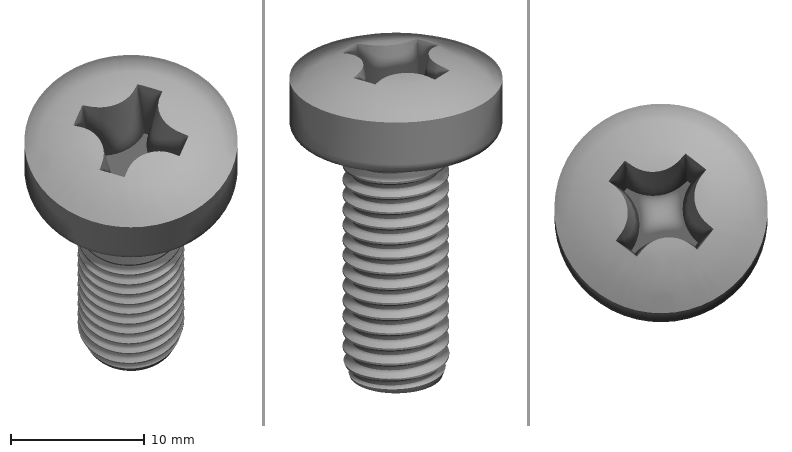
import math

import cadquery as cq


thread_diameter = 8.0
shank_length = 20.0
tip_radius = 3.5
tip_cone_angle = 20.0

pitch = 1.25
thread_turns = 15.7
flank_angle = 30.0
crest_flat = pitch / 8
root_flat = pitch / 4

head_diameter = 16.0
head_height = 6.0
head_underside_round = 0.95
dome_height = 1.55
dome_flat_radius = 2.0

recess_opening_z = 25.8
recess_depth = 4.8
recess_taper = 10.0
arm_length = 4.23
arm_half_width = 1.0
corner_round = 2.63
arm_straight = 1.2

overlap = 0.5
groove_overlap = 0.125

thread_radius = thread_diameter / 2
head_radius = head_diameter / 2
head_top_z = shank_length + head_height


def make_shank():
    """Plain cylinder with a conical tip, reaching slightly into the head."""
    tip_height = (thread_radius - tip_radius) / math.tan(math.radians(tip_cone_angle))
    shank_top_z = shank_length + overlap
    return (
        cq.Workplane("XZ")
        .moveTo(0, 0)
        .lineTo(tip_radius, 0)
        .lineTo(thread_radius, tip_height)
        .lineTo(thread_radius, shank_top_z)
        .lineTo(0, shank_top_z)
        .close()
        .revolve(360, (0, 0), (0, 1))
    )


def make_thread_groove():
    """Helical groove starting at z = 0 on the +X side, with a flat end under the head."""
    flank_slope = math.tan(math.radians(flank_angle))
    groove_opening = pitch - crest_flat
    groove_depth = (groove_opening - root_flat) / 2 / flank_slope
    root_radius = thread_radius - groove_depth
    outer_radius = thread_radius + groove_overlap
    outer_half_width = root_flat / 2 + (outer_radius - root_radius) * flank_slope

    helix = cq.Wire.makeHelix(pitch, thread_turns * pitch, root_radius)
    return (
        cq.Workplane("XZ")
        .moveTo(root_radius, -root_flat / 2)
        .lineTo(outer_radius, -outer_half_width)
        .lineTo(outer_radius, outer_half_width)
        .lineTo(root_radius, root_flat / 2)
        .close()
        .sweep(cq.Workplane(obj=helix), isFrenet=True)
    )


def make_head():
    """Cylindrical head with a rounded underside edge and a domed top, flat at the middle."""
    dome_run = head_radius - dome_flat_radius
    dome_arc_radius = (dome_run**2 + dome_height**2) / (2 * dome_height)
    return (
        cq.Workplane("XZ")
        .moveTo(0, shank_length)
        .lineTo(head_radius - head_underside_round, shank_length)
        .radiusArc((head_radius, shank_length + head_underside_round), -head_underside_round)
        .lineTo(head_radius, head_top_z - dome_height)
        .radiusArc((dome_flat_radius, head_top_z), -dome_arc_radius)
        .lineTo(0, head_top_z)
        .close()
        .revolve(360, (0, 0), (0, 1))
    )


def make_recess():
    """Tapered square pocket with a rounded post left standing in each corner."""
    floor_inset = recess_depth * math.tan(math.radians(recess_taper))
    floor_z = recess_opening_z - recess_depth
    height = recess_depth + overlap
    floor_plane = cq.Workplane("XY", origin=(0, 0, floor_z))

    floor_side = 2 * (arm_length - floor_inset)
    pocket = floor_plane.rect(floor_side, floor_side).extrude(height, taper=-recess_taper)

    post_round = corner_round + floor_inset
    post_side = 2 * post_round + arm_straight
    post_offset = arm_half_width - floor_inset + post_side / 2
    post_outline = cq.Sketch().rect(post_side, post_side).vertices().fillet(post_round)
    for x_side in (-1, 1):
        for y_side in (-1, 1):
            post = (
                floor_plane.center(x_side * post_offset, y_side * post_offset)
                .placeSketch(post_outline)
                .extrude(height, taper=recess_taper)
            )
            pocket = pocket.cut(post)
    return pocket


threaded_shank = make_shank().cut(make_thread_groove())
head = make_head().cut(make_recess())
result = head.union(threaded_shank)